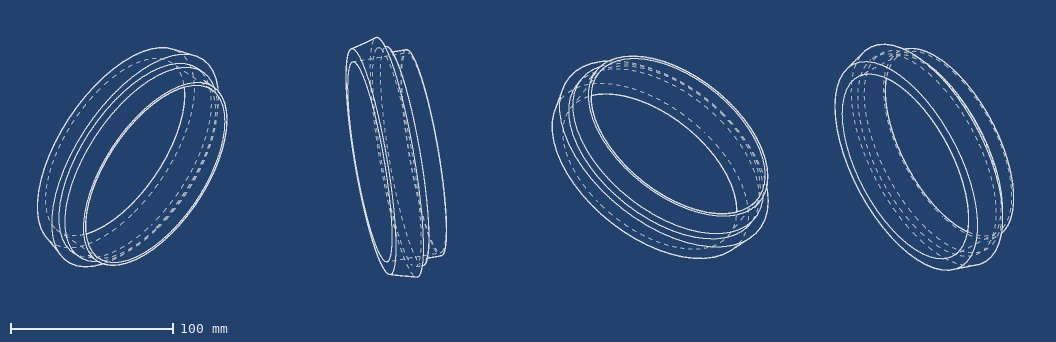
import cadquery as cq
import math

total_length = 34.0
bore_radius = 125.0 / 2
spigot_radius = 129.0 / 2
collar_radius = 137.0 / 2
flange_radius = 150.0 / 2

flange_back_x = 17.0
collar_length = 5.0
collar_back_x = flange_back_x + collar_length

blend_radius = collar_radius - spigot_radius
blend_end_x = collar_back_x + blend_radius

mouth_land_width = 0.5
mouth_land_radius = bore_radius + mouth_land_width
rim_slope = math.tan(math.radians(15.0))
front_face_slope = math.tan(math.radians(5.0))

rim_radius_at_origin = flange_radius - flange_back_x * rim_slope
front_edge_x = (
    front_face_slope * (rim_radius_at_origin - mouth_land_radius) / (1 - front_face_slope * rim_slope)
)
front_edge_radius = rim_radius_at_origin + front_edge_x * rim_slope


def half_section():
    """Closed wall section, with X along the axis and Y as the radius."""
    return (
        cq.Workplane("XY")
        .moveTo(0, bore_radius)
        .lineTo(0, mouth_land_radius)
        .lineTo(front_edge_x, front_edge_radius)
        .lineTo(flange_back_x, flange_radius)
        .lineTo(flange_back_x, collar_radius)
        .lineTo(collar_back_x, collar_radius)
        .radiusArc((blend_end_x, spigot_radius), -blend_radius)
        .lineTo(total_length, spigot_radius)
        .lineTo(total_length, bore_radius)
        .close()
    )


result = half_section().revolve(360, (0, 0, 0), (1, 0, 0))